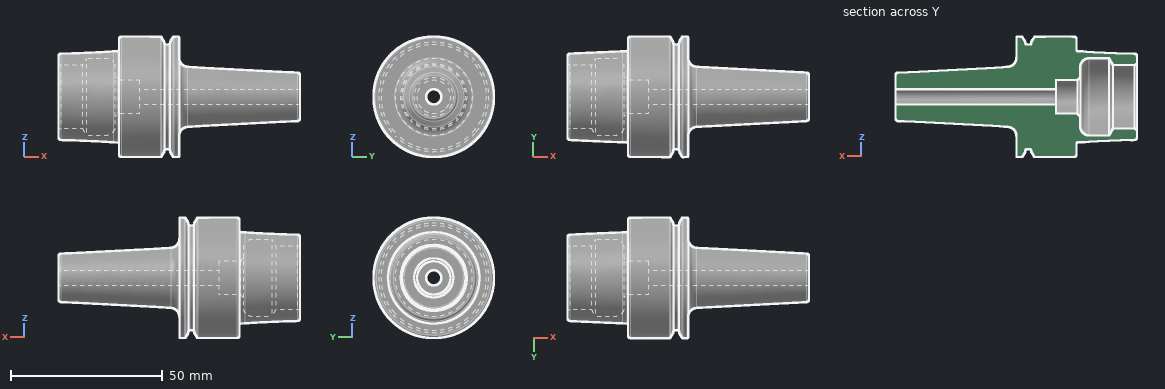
import cadquery as cq
import math


LENGTH = 80.0
TAPER_END = 18.3
FLANGE_START = 20.0
FLANGE_END = 40.0

NOSE_DIAMETER = 28.6
NECK_DIAMETER = 30.2
NOSE_FILLET = 1.0
NECK_FILLET = 0.3

FLANGE_DIAMETER = 40.0
FLANGE_FRONT_FILLET = 1.0
FLANGE_BACK_FILLET = 0.5

GROOVE_DIAMETER = 34.8
GROOVE_CENTER = 36.0
GROOVE_SLOT_WIDTH = 1.9
GROOVE_MOUTH_WIDTH = 4.0
GROOVE_FLANK_ANGLE = 30.0
GROOVE_FILLET = 0.5

SHANK_TIP_DIAMETER = 16.1
SHANK_HALF_ANGLE = 3.0
SHANK_ROOT_FILLET = 3.0
SHANK_TIP_FILLET = 1.0

MOUTH_DIAMETER = 21.0
MOUTH_CHAMFER_LENGTH = 0.8
MOUTH_CHAMFER_HEIGHT = 0.5
MOUTH_LENGTH = 8.0
UNDERCUT_DIAMETER = 25.5
UNDERCUT_SHOULDER_ANGLE = 30.0
UNDERCUT_FLOOR_FILLET = 3.0
BORE_DEPTH = 18.8

COUNTERBORE_DIAMETER = 11.0
COUNTERBORE_DEPTH = 8.0
COUNTERBORE_CHAMFER = 1.0
THROUGH_DIAMETER = 5.0


def revolve(points):
    """Turn a closed outline of (x, radius) points about the X axis."""
    return cq.Workplane("XY").polyline(points).close().revolve(360, (0, 0, 0), (1, 0, 0))


def cylinder(start, end, diameter):
    """Round bar along X between two positions."""
    return cq.Workplane("YZ", origin=(start, 0, 0)).circle(diameter / 2).extrude(end - start)


def circle_at(x, diameter):
    """Selector for the circular edge of the given diameter at position x."""
    margin = 0.01
    reach = diameter / 2 + margin
    return cq.selectors.BoxSelector(
        (x - margin, -reach, -reach), (x + margin, reach, reach), boundingbox=True
    )


def make_taper():
    nose_radius = NOSE_DIAMETER / 2
    neck_radius = NECK_DIAMETER / 2
    taper = revolve([
        (0, 0),
        (0, nose_radius),
        (TAPER_END, neck_radius),
        (FLANGE_START, neck_radius),
        (FLANGE_START, 0),
    ])
    return taper.faces("<X").edges().fillet(NOSE_FILLET)


def make_groove():
    outer_radius = FLANGE_DIAMETER / 2
    half_slot = GROOVE_SLOT_WIDTH / 2
    half_mouth = GROOVE_MOUTH_WIDTH / 2
    flank_height = (half_mouth - half_slot) / math.tan(math.radians(GROOVE_FLANK_ANGLE))
    flank_radius = outer_radius - flank_height
    floor_radius = GROOVE_DIAMETER / 2
    return revolve([
        (GROOVE_CENTER - half_mouth, outer_radius),
        (GROOVE_CENTER - half_slot, flank_radius),
        (GROOVE_CENTER - half_slot, floor_radius),
        (GROOVE_CENTER + half_slot, floor_radius),
        (GROOVE_CENTER + half_slot, flank_radius),
        (GROOVE_CENTER + half_mouth, outer_radius),
    ])


def make_flange():
    flange = cylinder(FLANGE_START, FLANGE_END, FLANGE_DIAMETER)
    flange = flange.faces("<X").edges().fillet(FLANGE_FRONT_FILLET)
    flange = flange.faces(">X").edges().fillet(FLANGE_BACK_FILLET)
    flange = flange.cut(make_groove())
    for side in (-1, 1):
        floor_corner = GROOVE_CENTER + side * GROOVE_SLOT_WIDTH / 2
        mouth_corner = GROOVE_CENTER + side * GROOVE_MOUTH_WIDTH / 2
        flange = flange.edges(circle_at(floor_corner, GROOVE_DIAMETER)).fillet(GROOVE_FILLET)
        flange = flange.edges(circle_at(mouth_corner, FLANGE_DIAMETER)).fillet(GROOVE_FILLET)
    return flange


def make_shank(root_diameter):
    shank = revolve([
        (FLANGE_END, 0),
        (FLANGE_END, root_diameter / 2),
        (LENGTH, SHANK_TIP_DIAMETER / 2),
        (LENGTH, 0),
    ])
    return shank.faces(">X").edges().fillet(SHANK_TIP_FILLET)


def make_outside():
    shank_spread = (LENGTH - FLANGE_END) * math.tan(math.radians(SHANK_HALF_ANGLE))
    root_diameter = SHANK_TIP_DIAMETER + 2 * shank_spread
    outside = make_taper().union(make_flange()).union(make_shank(root_diameter))
    outside = outside.edges(circle_at(FLANGE_START, NECK_DIAMETER)).fillet(NECK_FILLET)
    return outside.edges(circle_at(FLANGE_END, root_diameter)).fillet(SHANK_ROOT_FILLET)


def make_mouth():
    radius = MOUTH_DIAMETER / 2
    return revolve([
        (0, 0),
        (0, radius + MOUTH_CHAMFER_HEIGHT),
        (MOUTH_CHAMFER_LENGTH, radius),
        (MOUTH_LENGTH, radius),
        (MOUTH_LENGTH, 0),
    ])


def make_undercut():
    mouth_radius = MOUTH_DIAMETER / 2
    radius = UNDERCUT_DIAMETER / 2
    shoulder_length = (radius - mouth_radius) * math.tan(math.radians(UNDERCUT_SHOULDER_ANGLE))
    undercut = revolve([
        (MOUTH_LENGTH, 0),
        (MOUTH_LENGTH, mouth_radius),
        (MOUTH_LENGTH + shoulder_length, radius),
        (BORE_DEPTH, radius),
        (BORE_DEPTH, 0),
    ])
    return undercut.faces(">X").edges().fillet(UNDERCUT_FLOOR_FILLET)


def make_counterbore():
    radius = COUNTERBORE_DIAMETER / 2
    counterbore_end = BORE_DEPTH + COUNTERBORE_DEPTH
    return revolve([
        (BORE_DEPTH, 0),
        (BORE_DEPTH, radius + COUNTERBORE_CHAMFER),
        (BORE_DEPTH + COUNTERBORE_CHAMFER, radius),
        (counterbore_end, radius),
        (counterbore_end, 0),
    ])


result = make_outside()
for hollow in (make_mouth(), make_undercut(), make_counterbore()):
    result = result.cut(hollow)
result = result.cut(cylinder(0, LENGTH, THROUGH_DIAMETER))